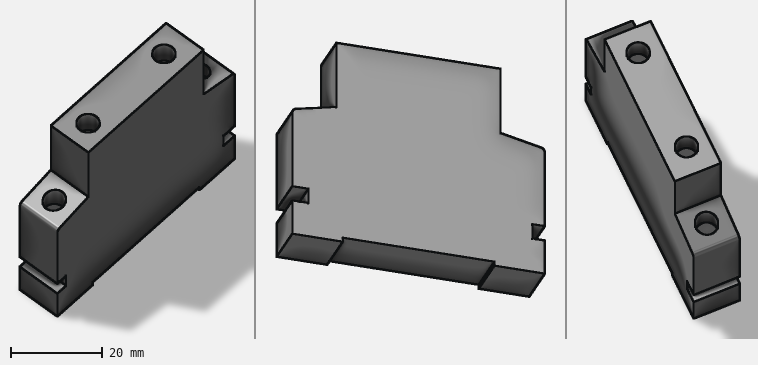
import cadquery as cq

width = 11.1
length = 58.4
height = 49.65

block_length = 37.95
slope_top_z = 33.5
slope_end_z = 31.3
shoulder_radius = 1.15

notch_bottom_z = 8.35
notch_top_z = 11.9
front_notch_depth = 2.9
back_notch_depth = 3.75

recess_length = 35.05
recess_height = 1.0

hole_diameter = 5.15
hole_depth = 5.85
block_holes = [(-0.25, 12.3), (0.1, -13.0)]
shoulder_holes = [(-0.05, 23.55), (0.05, -24.05)]

half_length = length / 2
half_block = block_length / 2
edge_tolerance = 0.05


def make_body():
    """Extrude the symmetric side outline and round the shoulder ends."""
    outline = [
        (-half_length, 0),
        (half_length, 0),
        (half_length, slope_end_z),
        (half_block, slope_top_z),
        (half_block, height),
        (-half_block, height),
        (-half_block, slope_top_z),
        (-half_length, slope_end_z),
    ]
    body = cq.Workplane("YZ").polyline(outline).close().extrude(width / 2, both=True)
    shoulder_edges = cq.selectors.BoxSelector(
        (-width, -length, slope_end_z - edge_tolerance), (width, length, slope_end_z + edge_tolerance)
    )
    return body.edges("|X").edges(shoulder_edges).fillet(shoulder_radius)


def bar(y_start, y_end, z_start, z_end):
    """Full-width rectangular cutter between the given Y and Z limits."""
    return (
        cq.Workplane("XY", origin=(0, (y_start + y_end) / 2, z_start))
        .rect(width, y_end - y_start)
        .extrude(z_end - z_start)
    )


def screw_holes(centres, floor_z):
    """Vertical cylinders that open upwards from a flat floor."""
    return (
        cq.Workplane("XY", origin=(0, 0, floor_z))
        .pushPoints(centres)
        .circle(hole_diameter / 2)
        .extrude(height - floor_z)
    )


result = make_body()
result = result.cut(bar(-half_length, -half_length + front_notch_depth, notch_bottom_z, notch_top_z))
result = result.cut(bar(half_length - back_notch_depth, half_length, notch_bottom_z, notch_top_z))
result = result.cut(bar(-recess_length / 2, recess_length / 2, 0, recess_height))
result = result.cut(screw_holes(block_holes, height - hole_depth))
result = result.cut(screw_holes(shoulder_holes, slope_top_z - hole_depth))